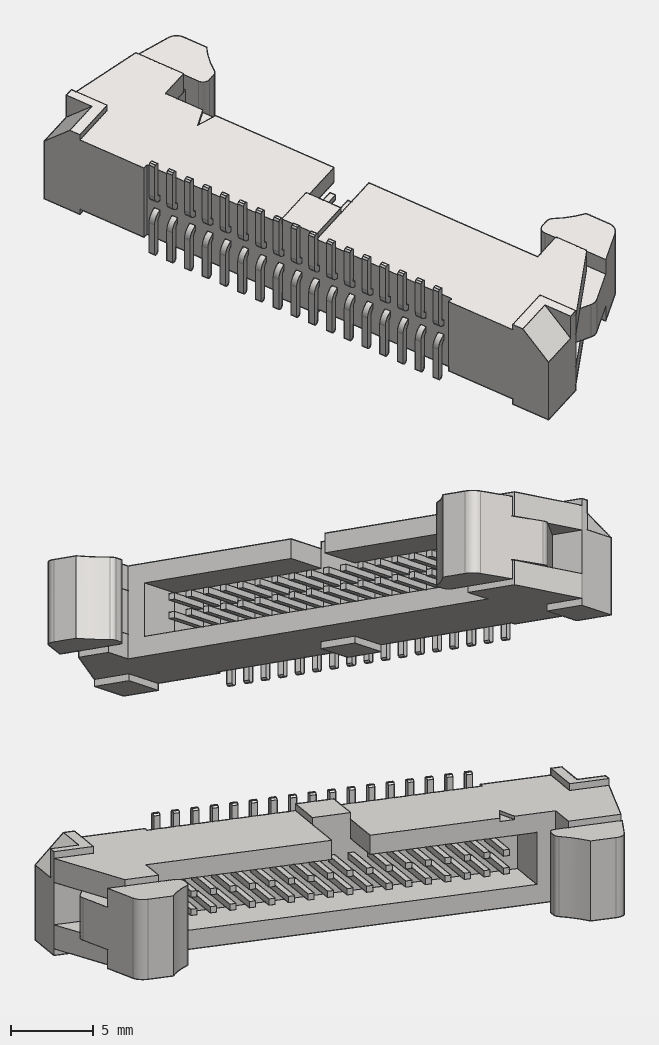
import cadquery as cq
import math


LENGTH = 36.07
BODY_HEIGHT = 6.2
BODY_WIDTH = 5.77
END_BLOCK_LENGTH = 2.55
END_BLOCK_WIDTH = 6.65
LEDGE_Y = 3.05
CORNER_CUT = 1.85
CORNER_CUT_TOP = 2.5
TOWER_TOP = 8.25
TOWER_INNER_X = 13.3
LEFT_TOWER_OUTER_X = 16.75
RIGHT_TOWER_OUTER_X = 15.5
TAIL_RECESS_DEPTH = 0.32
TAIL_RECESS_LENGTH = 21.8
WALL = 1.23
KEY_WIDTH = 2.5
MARK_X = -10.17
MARK_WIDTH = 0.95
MARK_LENGTH = 1.3
MARK_DEPTH = 0.2

PINS_PER_ROW = 17
PIN_ROW_LENGTH = 20.3
PITCH = PIN_ROW_LENGTH / (PINS_PER_ROW - 1)
ROW_SPACING = 1.15
PIN_SIZE = 0.4
PIN_SETBACK = 0.1
PIN_TIP_Y = BODY_HEIGHT - PIN_SETBACK
TAIL_Y = -0.3
TAIL_SPAN = 7.5
BEND_RADIUS = 0.75
TIP_BEVEL = 0.1

OVERALL_HEIGHT = 11.55
LATCH_TOP = TAIL_Y + OVERALL_HEIGHT
HEAD_BOTTOM = 8.48
HEAD_WIDTH = 5.12
NECK_WIDTH = 2.7
HOOK_X = 11.9
HOOK_CORNER_Y = 9.65
RAMP_TOP_X = 13.55
RAMP_HOLLOW = 0.1
HOOK_ROUND = 0.47
HEAD_ROUND = 0.8
BULGE_X = 17.55
BULGE_Y = 6.02
BULGE_ROUND = 0.7
OUTER_SLOPE = 0.34
FLANK_SLOPE = 0.58


def plate(points, width):
    """Outline in X and Y, extruded symmetrically across Z."""
    return cq.Workplane("XY").polyline(points).close().extrude(width / 2, both=True)


def block(x_range, y_range, z_range):
    """Box between the given limits on each axis."""
    size = [high - low for low, high in (x_range, y_range, z_range)]
    corner = (x_range[0], y_range[0], z_range[0])
    return cq.Workplane("XY").box(*size, centered=False).translate(corner)


def centred(width):
    """Limits of a range of the given width about zero."""
    return (-width / 2, width / 2)


def make_shell():
    """Main body with a sloped tower at each end."""
    half = LENGTH / 2
    outline = [
        (-half, 0),
        (half, 0),
        (half, LEDGE_Y),
        (RIGHT_TOWER_OUTER_X, TOWER_TOP),
        (TOWER_INNER_X, TOWER_TOP),
        (TOWER_INNER_X, BODY_HEIGHT),
        (-TOWER_INNER_X, BODY_HEIGHT),
        (-TOWER_INNER_X, TOWER_TOP),
        (-LEFT_TOWER_OUTER_X, TOWER_TOP),
        (-half, LEDGE_Y),
    ]
    return plate(outline, BODY_WIDTH)


def make_end_block(side):
    """Wider foot at one end, before its bevel."""
    outer = side * LENGTH / 2
    inner = outer - side * END_BLOCK_LENGTH
    return block(sorted((inner, outer)), (0, LEDGE_Y), centred(END_BLOCK_WIDTH))


def make_corner_cut(side):
    """Triangular prism that bevels the outer +Z corner of one end block."""
    outer = side * LENGTH / 2
    top = END_BLOCK_WIDTH / 2
    triangle = [(outer, top), (outer - side * CORNER_CUT, top), (outer, top - CORNER_CUT)]
    return cq.Workplane("XZ").polyline(triangle).close().extrude(-CORNER_CUT_TOP)


def make_latch_slot(side):
    """Slot through one tower that holds the latch neck."""
    x_range = sorted((side * TOWER_INNER_X, side * LENGTH / 2))
    return block(x_range, (LEDGE_Y, TOWER_TOP), centred(NECK_WIDTH))


def make_key_pads():
    """Raised pads at mid-length on both Z faces, as wide as the keying slot."""
    return block(centred(KEY_WIDTH), (0, LEDGE_Y), centred(END_BLOCK_WIDTH))


def make_tail_recess():
    """Shallow step in the seating face where the pins come out."""
    return block(centred(TAIL_RECESS_LENGTH), (0, TAIL_RECESS_DEPTH), centred(END_BLOCK_WIDTH))


def make_cavity():
    """Mating cavity, open at the rim."""
    half_length = TOWER_INNER_X - WALL
    return block((-half_length, half_length), (LEDGE_Y, BODY_HEIGHT), centred(BODY_WIDTH - 2 * WALL))


def make_key_slot():
    """Polarising slot through the +Z wall."""
    return block(centred(KEY_WIDTH), (LEDGE_Y, BODY_HEIGHT), (0, BODY_WIDTH / 2))


def make_mark():
    """Triangular pin-1 mark sunk into the +Z face."""
    triangle = [
        (MARK_X - MARK_WIDTH / 2, BODY_HEIGHT),
        (MARK_X + MARK_WIDTH / 2, BODY_HEIGHT),
        (MARK_X, BODY_HEIGHT - MARK_LENGTH),
    ]
    floor = BODY_WIDTH / 2 - MARK_DEPTH
    return cq.Workplane("XY").workplane(offset=floor).polyline(triangle).close().extrude(MARK_DEPTH)


def make_pin(x, row):
    """Right-angle pin: straight contact, round bend, tail pointing away from the middle."""
    inner = ROW_SPACING / 2 - PIN_SIZE / 2
    outer = inner + PIN_SIZE
    tail_inner_y = TAIL_Y + PIN_SIZE
    tail_end = TAIL_SPAN / 2
    centre_y = TAIL_Y + BEND_RADIUS
    centre_z = inner + BEND_RADIUS
    inside_radius = BEND_RADIUS - PIN_SIZE
    diagonal = math.sqrt(0.5)
    outside_mid = (centre_y - BEND_RADIUS * diagonal, centre_z - BEND_RADIUS * diagonal)
    inside_mid = (centre_y - inside_radius * diagonal, centre_z - inside_radius * diagonal)
    pin = (
        cq.Workplane("YZ")
        .moveTo(PIN_TIP_Y, inner)
        .lineTo(centre_y, inner)
        .threePointArc(outside_mid, (TAIL_Y, centre_z))
        .lineTo(TAIL_Y, tail_end - TIP_BEVEL)
        .lineTo(TAIL_Y + TIP_BEVEL, tail_end)
        .lineTo(tail_inner_y - TIP_BEVEL, tail_end)
        .lineTo(tail_inner_y, tail_end - TIP_BEVEL)
        .lineTo(tail_inner_y, centre_z)
        .threePointArc(inside_mid, (centre_y, outer))
        .lineTo(PIN_TIP_Y, outer)
        .close()
        .extrude(PIN_SIZE / 2, both=True)
        .translate((x, 0, 0))
    )
    if row < 0:
        pin = pin.mirror("XY")
    return pin


def make_housing():
    """Moulded housing together with its pins, as one solid."""
    housing = make_shell()
    for side in (-1, 1):
        housing = housing.union(make_end_block(side))
    housing = housing.union(make_key_pads())
    for side in (-1, 1):
        housing = housing.cut(make_corner_cut(side)).cut(make_latch_slot(side))
    housing = housing.cut(make_tail_recess()).cut(make_cavity()).cut(make_key_slot()).cut(make_mark())
    first_x = -PIN_ROW_LENGTH / 2
    pins = [
        make_pin(first_x + number * PITCH, row).val()
        for row in (-1, 1)
        for number in range(PINS_PER_ROW)
    ]
    return cq.Workplane(housing.val().fuse(*pins))


def outer_at(y):
    """X of the latch's sloped outer face at the given height."""
    return BULGE_X - OUTER_SLOPE * (y - BULGE_Y)


def round_edge(body, x, y, radius):
    """Round the edge along Z that passes nearest to the given point."""
    return body.edges("|Z").edges(cq.NearestToPointSelector((x, y, 0))).fillet(radius)


def make_latch(side):
    """Ejector latch: wide hooked head on a narrow neck that sits in its tower slot."""
    top_corner_x = outer_at(LATCH_TOP)
    ramp_run = RAMP_TOP_X - HOOK_X
    ramp_rise = LATCH_TOP - HOOK_CORNER_Y
    inset = RAMP_HOLLOW / math.hypot(ramp_run, ramp_rise)
    ramp_mid = (
        HOOK_X + ramp_run / 2 + inset * ramp_rise,
        HOOK_CORNER_Y + ramp_rise / 2 - inset * ramp_run,
    )
    head = (
        cq.Workplane("XY")
        .moveTo(HOOK_X, HEAD_BOTTOM)
        .lineTo(outer_at(HEAD_BOTTOM), HEAD_BOTTOM)
        .lineTo(top_corner_x, LATCH_TOP)
        .lineTo(RAMP_TOP_X, LATCH_TOP)
        .threePointArc(ramp_mid, (HOOK_X, HOOK_CORNER_Y))
        .close()
        .extrude(HEAD_WIDTH / 2, both=True)
    )
    head = round_edge(head, HOOK_X, HEAD_BOTTOM, HOOK_ROUND)
    head = round_edge(head, HOOK_X, HOOK_CORNER_Y, HOOK_ROUND)
    head = round_edge(head, top_corner_x, LATCH_TOP, HEAD_ROUND)
    foot_x = BULGE_X - FLANK_SLOPE * (BULGE_Y - LEDGE_Y)
    neck = plate(
        [
            (TOWER_INNER_X, LEDGE_Y),
            (foot_x, LEDGE_Y),
            (BULGE_X, BULGE_Y),
            (outer_at(HEAD_BOTTOM), HEAD_BOTTOM),
            (TOWER_INNER_X, HEAD_BOTTOM),
        ],
        NECK_WIDTH,
    )
    neck = round_edge(neck, BULGE_X, BULGE_Y, BULGE_ROUND)
    latch = head.union(neck)
    if side < 0:
        latch = latch.mirror("YZ")
    return latch


housing = make_housing()
latches = [make_latch(side) for side in (-1, 1)]
result = cq.Compound.makeCompound([housing.val(), *(latch.val() for latch in latches)])